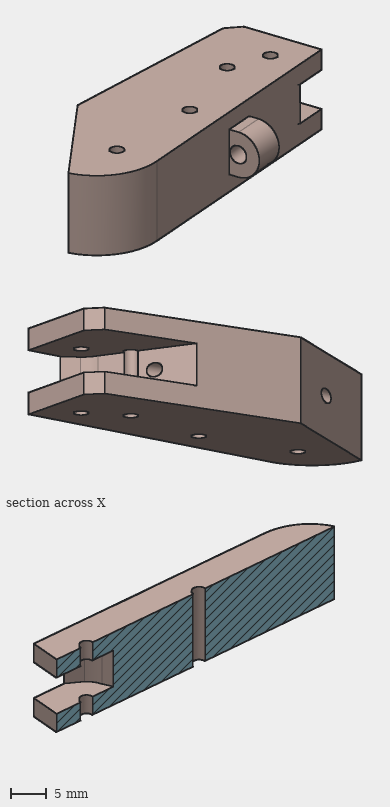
import cadquery as cq
import math

length = 51.85
thickness = 12.5
nose_radius = 10.0
nose_tip = (-8.3, 0.0)
left_corner = (-18.95, 18.45)
chamfer_side = (-15.2, 49.85)
chamfer_end = (-13.05, length)

pin_diameter = 2.15
hinge_pin = (-5.0, 46.35)
pins = [hinge_pin, (-8.0, 39.95), (-5.0, 25.9), (-6.65, 9.85)]

slot_height = 6.1
slot_left = (-16.95, 35.1)
seat_radius = 4.3
seat_start_angle = -69.0
seat_end_angle = -35.0
overcut = 5.2

cable_diameter = 2.0
cable_entry = (-14.45, 10.7)

lug_reach = 1.5
lug_radius = 3.55
lug_width = 5.05
lug_start = 28.35
lug_hole_diameter = 2.75
lug_root = 1.05


def seat_point(angle):
    """Point on the hinge seat arc at an angle in degrees."""
    turn = math.radians(angle)
    return (
        hinge_pin[0] + seat_radius * math.cos(turn),
        hinge_pin[1] + seat_radius * math.sin(turn),
    )


def make_body():
    tip_offset = nose_tip[0] + nose_radius
    nose_center_y = math.sqrt(nose_radius**2 - tip_offset**2)
    tip_angle = math.atan2(-nose_center_y, tip_offset)
    nose_middle = (
        -nose_radius + nose_radius * math.cos(tip_angle / 2),
        nose_center_y + nose_radius * math.sin(tip_angle / 2),
    )
    return (
        cq.Workplane("XY", origin=(0, 0, -thickness / 2))
        .moveTo(*nose_tip)
        .threePointArc(nose_middle, (0, nose_center_y))
        .lineTo(0, length)
        .lineTo(*chamfer_end)
        .lineTo(*chamfer_side)
        .lineTo(*left_corner)
        .close()
        .extrude(thickness)
    )


def make_slot():
    seat_start = seat_point(seat_start_angle)
    slope = (seat_start[1] - slot_left[1]) / (seat_start[0] - slot_left[0])
    outer_left = (slot_left[0] - overcut, slot_left[1] - overcut * slope)
    return (
        cq.Workplane("XY", origin=(0, 0, -slot_height / 2))
        .moveTo(*outer_left)
        .lineTo(*seat_start)
        .threePointArc(seat_point((seat_start_angle + seat_end_angle) / 2), seat_point(seat_end_angle))
        .lineTo(0, hinge_pin[1])
        .lineTo(overcut, hinge_pin[1])
        .lineTo(overcut, length + overcut)
        .lineTo(outer_left[0], length + overcut)
        .close()
        .extrude(slot_height)
    )


def make_pin_holes():
    return (
        cq.Workplane("XY", origin=(0, 0, -thickness / 2))
        .pushPoints(pins)
        .circle(pin_diameter / 2)
        .extrude(thickness)
    )


def make_cable_hole():
    direction = cq.Vector(chamfer_side[0] - left_corner[0], chamfer_side[1] - left_corner[1], 0).normalized()
    start = cq.Vector(*cable_entry, 0) - direction * overcut
    run = hinge_pin[1] - start.y
    return cq.Workplane(cq.Solid.makeCylinder(cable_diameter / 2, run, start, direction))


def make_lug():
    plane = cq.Workplane("XZ", origin=(0, lug_start, 0))
    eye = plane.center(lug_reach, 0).circle(lug_radius).extrude(-lug_width)
    block_length = lug_reach + lug_root
    block = (
        plane.center(lug_reach - block_length / 2, 0)
        .rect(block_length, 2 * lug_radius)
        .extrude(-lug_width)
    )
    hole = plane.center(lug_reach, 0).circle(lug_hole_diameter / 2).extrude(-lug_width)
    return eye.union(block).cut(hole)


body = make_body().cut(make_slot()).cut(make_pin_holes()).cut(make_cable_hole())
result = body.union(make_lug())